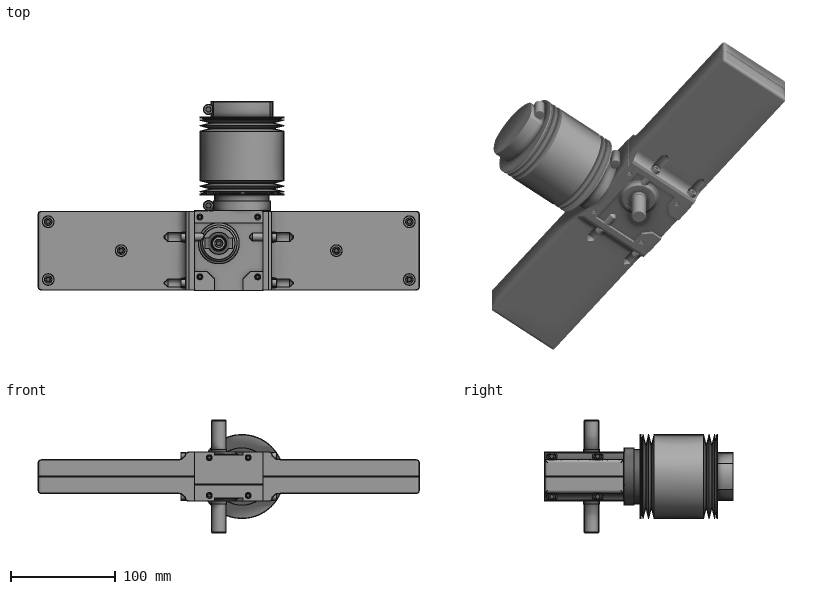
import cadquery as cq
import math

HOUSING_LENGTH = 65.0
HOUSING_DEPTH = 76.0
HOUSING_HEIGHT = 47.0
HOUSING_HALF_X = HOUSING_LENGTH / 2
HOUSING_HALF_Y = HOUSING_DEPTH / 2
HOUSING_HALF_Z = HOUSING_HEIGHT / 2
POCKET_DEPTH = 3.0
POCKET_FLOOR = HOUSING_HALF_Z - POCKET_DEPTH
RAIL_EDGE_Y = 26.5
PAD_LENGTH = 19.0
PAD_DEPTH = 18.0
PAD_CHAMFER = 7.0
HOUSING_SEAM_Z = -7.6
SEAM_WIDTH = 1.0
SEAM_DEPTH = 0.5

SCREW_HEAD_DIA = 5.5
SCREW_HEAD_DEPTH = 1.0
SCREW_CORE_DIA = 3.24
SCREW_CORE_DEPTH = 6.0
COVER_SCREW_X = 27.5
COVER_SCREW_ROWS = (-25.0, 32.0)
FRONT_SCREW_X = 18.5
FRONT_SCREW_Z = 18.0

SHAFT_X = -9.5
SHAFT_Y = 7.0
SHAFT_LENGTH = 108.0
SHAFT_DIA = 14.0
SHAFT_JOURNAL_DIA = 15.0
SHAFT_JOURNAL_LENGTH = 52.0
SHAFT_CHAMFER = 1.0
CENTRE_HOLE_DIA = 4.5
CENTRE_HOLE_DEPTH = 12.0
CENTRE_SINK_DIA = 7.6
CENTRE_SINK_ANGLE = 90.0

BOSS_BASE_RADIUS = 19.5
BOSS_SHOULDER_RADIUS = 17.4
BOSS_SHOULDER_HEIGHT = 1.0
BOSS_TOP_RADIUS = 15.4
BOSS_ROOT = 6.0
SEAL_DIA = 21.0
SEAL_SLOT_LENGTH = 26.0
SEAL_SLOT_WIDTH = 10.0
SEAL_DEPTH = 1.0

ARM_END_X = 181.5
ARM_DEPTH = 75.0
ARM_HALF_Y = ARM_DEPTH / 2
ARM_HALF_Z = 16.0
ARM_END_FILLET = 3.0
FLANGE_FLAT_END_X = 38.0
FLANGE_CHAMFER_DROP = 1.0
FLANGE_ARC_RADIUS = 8.0
FLANGE_ARC_START_X = 48.5
ARM_SCREW_PLACES = ((102.5, 0.0), (172.0, 27.5), (172.0, -27.5))
ARM_BORE_DIA = 11.0
ARM_BORE_DEPTH = 2.0
ARM_SCREW_DIA = 7.0
ARM_SCREW_DEPTH = 4.0
ARM_SOCKET_DIA = 4.13
ARM_SOCKET_DEPTH = 7.0

BOLT_Z = 19.2
BOLT_HEAD_DIA = 7.0
BOLT_HEAD_END_X = 45.5
BOLT_SEAT_X = 41.0
BOLT_SOCKET_WIDTH = 4.0
BOLT_SOCKET_DEPTH = 3.0
UPPER_BOLT_Y = 12.9
LOWER_BOLT_Y = -30.8
HEAD_CLEARANCE_DIA = 10.0
ACCESS_GROOVE_DIA = 7.6
ACCESS_GROOVE_END_X = 58.0
UPPER_GROOVE_SPREAD = 1.1
LOWER_GROOVE_SPREAD = 0.0
BOLT_TIP_DIA = 8.0
BOLT_TIP_START_X = 22.5

COUPLING_X = 12.5
COUPLING_START_Y = HOUSING_HALF_Y
COUPLING_END_Y = 142.0
COUPLING_MIDDLE_Y = 90.2
DRUM_RADIUS = 40.0
DRUM_HALF_LENGTH = 23.5
CONVOLUTION_PITCH = 5.3
CONVOLUTIONS = 2
VALLEY_RADIUS = 29.5
LAST_VALLEY_RADIUS = 33.0
DISC_THICKNESS = 0.8
BELLOWS_HALF_LENGTH = 37.0
NECK_RADIUS = 26.0
COLLAR_RADIUS = 27.3
COLLAR_LENGTH = 9.5
HUB_EAR_RADIUS = 29.6
HUB_ARC_RADIUS = 40.0
HUB_HALF_Z = 22.8
CLAMP_BOLT_OFFSET = 31.8
CLAMP_BOLT_DIA = 9.5
CLAMP_BOLT_LENGTH = 18.0
CLAMP_BOLT_SOCKET = 5.0
CLAMP_BOLT_SOCKET_DEPTH = 4.0
COLLAR_BOLT_Y = 42.9
HUB_BOLT_Y = 134.5


def mirrored_z(shape):
    """The shape together with its mirror image below the XY plane."""
    return shape.union(shape.mirror("XY"))


def pointed_rod_x(start_x, end_x, diameter, y, z):
    """A round rod along X from start_x to end_x, finished by a right-angled point beyond end_x."""
    radius = diameter / 2
    tip_x = end_x + math.copysign(radius, end_x - start_x)
    return (
        cq.Workplane("XY")
        .moveTo(start_x, 0)
        .lineTo(start_x, radius)
        .lineTo(end_x, radius)
        .lineTo(tip_x, 0)
        .close()
        .revolve(360, (0, 0, 0), (1, 0, 0))
        .translate((0, y, z))
    )


def stepped_bore_z(x, y, top_z, steps):
    """A bore entered from above, with (diameter, depth below top_z) steps."""
    bore = None
    for diameter, depth in steps:
        step = cq.Workplane("XY", origin=(x, y, top_z)).circle(diameter / 2).extrude(-depth)
        bore = step if bore is None else bore.union(step)
    return bore


def cover_pocket():
    """Recess in the top cover that leaves a rail at the back and a pad in each front corner."""
    pad_edge_x = HOUSING_HALF_X - PAD_LENGTH
    pad_edge_y = PAD_DEPTH - HOUSING_HALF_Y
    half = [
        (pad_edge_x, -HOUSING_HALF_Y),
        (pad_edge_x, pad_edge_y - PAD_CHAMFER),
        (pad_edge_x + PAD_CHAMFER, pad_edge_y),
        (HOUSING_HALF_X, pad_edge_y),
        (HOUSING_HALF_X, RAIL_EDGE_Y),
    ]
    outline = half + [(-x, y) for x, y in reversed(half)]
    return cq.Workplane("XY").workplane(offset=POCKET_FLOOR).polyline(outline).close().extrude(POCKET_DEPTH)


def bolt_tip_bosses():
    """Pointed half-round bosses on the pocket floor, in line with the upper flange bolts."""
    bosses = cq.Workplane("XY")
    for side in (-1, 1):
        boss = pointed_rod_x(
            side * HOUSING_HALF_X, side * BOLT_TIP_START_X, BOLT_TIP_DIA, UPPER_BOLT_Y, BOLT_Z
        )
        bosses = bosses.union(boss)
    return bosses


def bearing_boss():
    """Conical boss on the pocket floor, around the shaft."""
    return (
        cq.Workplane("XZ")
        .moveTo(0, POCKET_FLOOR - BOSS_ROOT)
        .lineTo(BOSS_BASE_RADIUS, POCKET_FLOOR - BOSS_ROOT)
        .lineTo(BOSS_BASE_RADIUS, POCKET_FLOOR)
        .lineTo(BOSS_SHOULDER_RADIUS, POCKET_FLOOR + BOSS_SHOULDER_HEIGHT)
        .lineTo(BOSS_TOP_RADIUS, HOUSING_HALF_Z)
        .lineTo(0, HOUSING_HALF_Z)
        .close()
        .revolve(360, (0, 0, 0), (0, 1, 0))
        .translate((SHAFT_X, SHAFT_Y, 0))
    )


def seal_recess():
    """Round recess with a wide slot across it, sunk into the top of the bearing boss."""
    recess_plane = cq.Workplane("XY", origin=(SHAFT_X, SHAFT_Y, HOUSING_HALF_Z))
    seal = recess_plane.circle(SEAL_DIA / 2).extrude(-SEAL_DEPTH)
    slot = recess_plane.rect(SEAL_SLOT_LENGTH, SEAL_SLOT_WIDTH).extrude(-SEAL_DEPTH)
    return seal.union(slot)


def cover_screw_holes():
    holes = cq.Workplane("XY")
    steps = ((SCREW_HEAD_DIA, SCREW_HEAD_DEPTH), (SCREW_CORE_DIA, SCREW_CORE_DEPTH))
    for x in (-COVER_SCREW_X, COVER_SCREW_X):
        for y in COVER_SCREW_ROWS:
            holes = holes.union(stepped_bore_z(x, y, HOUSING_HALF_Z, steps))
    return holes


def front_screw_holes():
    face = cq.Workplane("XZ", origin=(0, -HOUSING_HALF_Y, 0)).rect(
        2 * FRONT_SCREW_X, 2 * FRONT_SCREW_Z, forConstruction=True
    ).vertices()
    heads = face.circle(SCREW_HEAD_DIA / 2).extrude(-SCREW_HEAD_DEPTH)
    cores = face.circle(SCREW_CORE_DIA / 2).extrude(-SCREW_CORE_DEPTH)
    return heads.union(cores)


def housing_seam():
    """Shallow parting groove across the front and back faces."""
    band = cq.Workplane("XY").box(HOUSING_LENGTH, HOUSING_DEPTH, SEAM_WIDTH)
    core = cq.Workplane("XY").box(HOUSING_LENGTH, HOUSING_DEPTH - 2 * SEAM_DEPTH, SEAM_WIDTH)
    return band.cut(core).translate((0, 0, HOUSING_SEAM_Z))


def make_housing():
    block = cq.Workplane("XY").box(HOUSING_LENGTH, HOUSING_DEPTH, HOUSING_HEIGHT)
    block = block.cut(mirrored_z(cover_pocket()))
    block = block.union(mirrored_z(bolt_tip_bosses()))
    block = block.union(mirrored_z(bearing_boss()))
    block = block.cut(mirrored_z(seal_recess()))
    block = block.cut(mirrored_z(cover_screw_holes()))
    block = block.cut(front_screw_holes())
    block = block.cut(housing_seam())
    shaft_hole = (
        cq.Workplane("XY", origin=(SHAFT_X, SHAFT_Y, 0))
        .circle(SHAFT_JOURNAL_DIA / 2)
        .extrude(HOUSING_HALF_Z, both=True)
    )
    return block.cut(shaft_hole)


def make_shaft():
    half_length = SHAFT_LENGTH / 2
    rod = cq.Workplane("XY").circle(SHAFT_DIA / 2).extrude(half_length, both=True)
    rod = rod.faces("<Z or >Z").chamfer(SHAFT_CHAMFER)
    rod = rod.faces(">Z").workplane().cskHole(
        CENTRE_HOLE_DIA, CENTRE_SINK_DIA, CENTRE_SINK_ANGLE, CENTRE_HOLE_DEPTH
    )
    journal = cq.Workplane("XY").circle(SHAFT_JOURNAL_DIA / 2).extrude(SHAFT_JOURNAL_LENGTH / 2, both=True)
    return rod.union(journal).translate((SHAFT_X, SHAFT_Y, 0))


def arm_blank():
    """Side outline of the right-hand arm, with hollow arcs rising to the flange, extruded along Y."""
    arc_centre_z = ARM_HALF_Z + FLANGE_ARC_RADIUS
    arc_end_z = HOUSING_HALF_Z - FLANGE_CHAMFER_DROP
    end_angle = math.acos((arc_centre_z - arc_end_z) / FLANGE_ARC_RADIUS)

    def arc_point(angle):
        x = FLANGE_ARC_START_X - FLANGE_ARC_RADIUS * math.sin(angle)
        z = arc_centre_z - FLANGE_ARC_RADIUS * math.cos(angle)
        return x, z

    middle_x, middle_z = arc_point(end_angle / 2)
    arc_end_x = arc_point(end_angle)[0]
    return (
        cq.Workplane("XZ")
        .moveTo(HOUSING_HALF_X, -HOUSING_HALF_Z)
        .lineTo(HOUSING_HALF_X, HOUSING_HALF_Z)
        .lineTo(FLANGE_FLAT_END_X, HOUSING_HALF_Z)
        .lineTo(arc_end_x, arc_end_z)
        .threePointArc((middle_x, middle_z), (FLANGE_ARC_START_X, ARM_HALF_Z))
        .lineTo(ARM_END_X, ARM_HALF_Z)
        .lineTo(ARM_END_X, -ARM_HALF_Z)
        .lineTo(FLANGE_ARC_START_X, -ARM_HALF_Z)
        .threePointArc((middle_x, -middle_z), (arc_end_x, -arc_end_z))
        .lineTo(FLANGE_FLAT_END_X, -HOUSING_HALF_Z)
        .close()
        .extrude(ARM_HALF_Y, both=True)
        .faces(">X")
        .edges()
        .fillet(ARM_END_FILLET)
    )


def arm_seam():
    """Shallow parting groove around the front, back and end faces at mid height."""
    length = ARM_END_X - HOUSING_HALF_X
    band = cq.Workplane("XY").box(length, ARM_DEPTH, SEAM_WIDTH, centered=(False, True, True))
    core = cq.Workplane("XY").box(
        length - SEAM_DEPTH, ARM_DEPTH - 2 * SEAM_DEPTH, SEAM_WIDTH, centered=(False, True, True)
    )
    return band.cut(core).translate((HOUSING_HALF_X, 0, 0))


def flange_bolt(y):
    """Socket head of a flange bolt, its axis along X."""
    head = (
        cq.Workplane("YZ", origin=(BOLT_SEAT_X, y, BOLT_Z))
        .circle(BOLT_HEAD_DIA / 2)
        .extrude(BOLT_HEAD_END_X - BOLT_SEAT_X)
    )
    socket_diameter = BOLT_SOCKET_WIDTH / math.cos(math.pi / 6)
    return head.faces(">X").workplane().polygon(6, socket_diameter).cutBlind(-BOLT_SOCKET_DEPTH)


def bolt_access(y, spread):
    """Space around a bolt head and the pointed grooves, spread apart along Y, that lead to it."""
    access = (
        cq.Workplane("YZ", origin=(BOLT_SEAT_X, y, BOLT_Z))
        .circle(HEAD_CLEARANCE_DIA / 2)
        .extrude(BOLT_HEAD_END_X - BOLT_SEAT_X)
    )
    for offset in (-spread / 2, spread / 2):
        groove = pointed_rod_x(BOLT_SEAT_X, ACCESS_GROOVE_END_X, ACCESS_GROOVE_DIA, y + offset, ARM_HALF_Z)
        access = access.union(groove)
    return access


def make_arm():
    arm = arm_blank().cut(arm_seam())
    for y, spread in ((UPPER_BOLT_Y, UPPER_GROOVE_SPREAD), (LOWER_BOLT_Y, LOWER_GROOVE_SPREAD)):
        arm = arm.cut(mirrored_z(bolt_access(y, spread)))
        arm = arm.union(mirrored_z(flange_bolt(y)))
    steps = (
        (ARM_BORE_DIA, ARM_BORE_DEPTH),
        (ARM_SCREW_DIA, ARM_SCREW_DEPTH),
        (ARM_SOCKET_DIA, ARM_SOCKET_DEPTH),
    )
    for x, y in ARM_SCREW_PLACES:
        arm = arm.cut(stepped_bore_z(x, y, ARM_HALF_Z, steps))
    return arm


def bellows_rim():
    """(distance from the middle, radius) points of one half of the bellows, from the drum outwards."""
    points = [(DRUM_HALF_LENGTH, DRUM_RADIUS)]
    for index in range(CONVOLUTIONS):
        peak = DRUM_HALF_LENGTH + (index + 1) * CONVOLUTION_PITCH
        points.append((peak - CONVOLUTION_PITCH / 2, VALLEY_RADIUS))
        points.append((peak, DRUM_RADIUS))
    disc_inner = BELLOWS_HALF_LENGTH - DISC_THICKNESS
    last_peak = points[-1][0]
    points.append(((last_peak + disc_inner) / 2, LAST_VALLEY_RADIUS))
    points.append((disc_inner, DRUM_RADIUS))
    points.append((BELLOWS_HALF_LENGTH, DRUM_RADIUS))
    return points


def coupling_body():
    """Collar, neck, drum and both bellows as one turned profile."""
    rim = bellows_rim()
    collar_end = COUPLING_START_Y + COLLAR_LENGTH
    near_bellows = [(radius, COUPLING_MIDDLE_Y - offset) for offset, radius in reversed(rim)]
    far_bellows = [(radius, COUPLING_MIDDLE_Y + offset) for offset, radius in rim]
    profile = [
        (0, COUPLING_START_Y),
        (COLLAR_RADIUS, COUPLING_START_Y),
        (COLLAR_RADIUS, collar_end),
        (NECK_RADIUS, collar_end),
        (NECK_RADIUS, COUPLING_MIDDLE_Y - BELLOWS_HALF_LENGTH),
        *near_bellows,
        *far_bellows,
        (0, COUPLING_MIDDLE_Y + BELLOWS_HALF_LENGTH),
    ]
    return cq.Workplane("XY").polyline(profile).close().revolve(360, (0, 0, 0), (0, 1, 0))


def end_hub():
    """Far clamp hub: a round hub flattened above and below by two wide arcs."""
    length = COUPLING_END_Y - COUPLING_MIDDLE_Y - BELLOWS_HALF_LENGTH
    arc_offset = HUB_ARC_RADIUS - HUB_HALF_Z
    end_plane = cq.Workplane("XZ", origin=(0, COUPLING_END_Y, 0))
    hub = end_plane.circle(HUB_EAR_RADIUS).extrude(length)
    for side in (-1, 1):
        arc = end_plane.center(0, side * arc_offset).circle(HUB_ARC_RADIUS).extrude(length)
        hub = hub.intersect(arc)
    return hub


def clamp_bolt(y):
    """Socket head clamp bolt beside a hub, its axis along Z."""
    return (
        cq.Workplane("XY", origin=(-CLAMP_BOLT_OFFSET, y, 0))
        .circle(CLAMP_BOLT_DIA / 2)
        .extrude(CLAMP_BOLT_LENGTH / 2, both=True)
        .faces(">Z")
        .workplane()
        .hole(CLAMP_BOLT_SOCKET, CLAMP_BOLT_SOCKET_DEPTH)
    )


def make_coupling():
    coupling = coupling_body().union(end_hub())
    for y in (COLLAR_BOLT_Y, HUB_BOLT_Y):
        coupling = coupling.union(clamp_bolt(y))
    return coupling.translate((COUPLING_X, 0, 0))


housing = make_housing()
shaft = make_shaft()
coupling = make_coupling()
right_arm = make_arm()
left_arm = right_arm.mirror("YZ")

result = cq.Compound.makeCompound(
    [housing.val(), shaft.val(), coupling.val(), right_arm.val(), left_arm.val()]
)